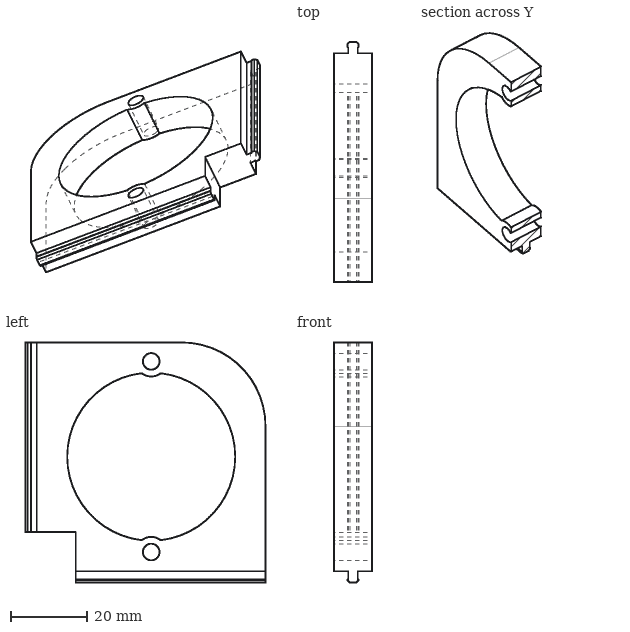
import cadquery as cq

THICKNESS = 10.0
EDGE_DISTANCE = 30.0
SIZE = 63.0
CORNER_RADIUS = 22.0

BORE_DIAMETER = 44.0
SCREW_HOLE_DIAMETER = 4.3
SCREW_SPACING = 50.0
LUG_DIAMETER = 8.0

TONGUE_LENGTH = 49.8
NECK_WIDTH = 2.6
HEAD_WIDTH = 3.0
TIP_WIDTH = 1.8
TONGUE_HEIGHT = 2.95
SIDE_NECK_HEIGHT = 1.4
BOTTOM_NECK_HEIGHT = 2.05
SHOULDER_RISE = 0.2
TIP_TAPER = 0.6

HALF_THICKNESS = THICKNESS / 2
PLATE_SIDE = SIZE - TONGUE_HEIGHT
Y_MIN = -EDGE_DISTANCE
Y_MAX = Y_MIN + PLATE_SIDE
Z_MAX = EDGE_DISTANCE
Z_MIN = Z_MAX - PLATE_SIDE
NOTCH_Y = Y_MIN + TONGUE_LENGTH
NOTCH_Z = Z_MAX - TONGUE_LENGTH


def make_plate():
    """L-shaped plate: notch at +Y -Z, round corner at -Y +Z."""
    outline = [
        (Y_MIN, Z_MIN),
        (NOTCH_Y, Z_MIN),
        (NOTCH_Y, NOTCH_Z),
        (Y_MAX, NOTCH_Z),
        (Y_MAX, Z_MAX),
        (Y_MIN, Z_MAX),
    ]
    plate = (
        cq.Workplane("YZ", origin=(-HALF_THICKNESS, 0, 0))
        .polyline(outline)
        .close()
        .extrude(THICKNESS)
    )
    return plate.edges("|X and <Y and >Z").fillet(CORNER_RADIUS)


def cylinder_along_x(diameter, z=0.0):
    """Cylinder through the plate thickness at Y = 0 and the given height."""
    return (
        cq.Workplane("YZ", origin=(-HALF_THICKNESS, 0, z))
        .circle(diameter / 2)
        .extrude(THICKNESS)
    )


def make_tongue(plane, neck_height):
    """Tongue standing on the plane's X axis: neck, wider head, tapered tip."""
    half_profile = [
        (NECK_WIDTH / 2, 0),
        (NECK_WIDTH / 2, neck_height),
        (HEAD_WIDTH / 2, neck_height + SHOULDER_RISE),
        (HEAD_WIDTH / 2, TONGUE_HEIGHT - TIP_TAPER),
        (TIP_WIDTH / 2, TONGUE_HEIGHT),
    ]
    mirrored = [(-x, level) for x, level in reversed(half_profile)]
    return cq.Workplane(plane).polyline(half_profile + mirrored).close().extrude(TONGUE_LENGTH)


side_plane = cq.Plane(origin=(0, Y_MAX, NOTCH_Z), xDir=(1, 0, 0), normal=(0, 0, 1))
bottom_plane = cq.Plane(origin=(0, Y_MIN, Z_MIN), xDir=(1, 0, 0), normal=(0, 1, 0))

result = make_plate().cut(cylinder_along_x(BORE_DIAMETER))

for screw_z in (-SCREW_SPACING / 2, SCREW_SPACING / 2):
    result = result.union(cylinder_along_x(LUG_DIAMETER, screw_z))
    result = result.cut(cylinder_along_x(SCREW_HOLE_DIAMETER, screw_z))

result = result.union(make_tongue(side_plane, SIDE_NECK_HEIGHT))
result = result.union(make_tongue(bottom_plane, BOTTOM_NECK_HEIGHT))